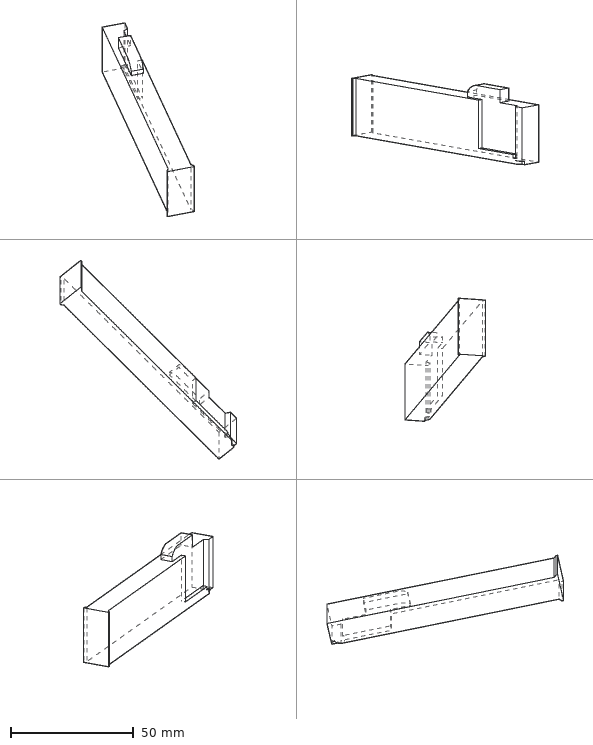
import cadquery as cq
import math

length = 96.5
flare_width = 11.5
total_height = 29.2

body_height = 23.8
front_flare = 0.82
back_flare = 1.0
flare_length = 1.6
rim_length = 0.7
flare_start = length - flare_length
flare_end = length - rim_length
front_y = front_flare
back_y = flare_width - back_flare

pocket_depth = 1.9
pocket_start = 3.8
pocket_slope = 1.2
pocket_end = 24.9
gap_floor = 2.3
pad_start = 5.3
pad_height = 1.4
pocket_y = back_y - pocket_depth

notch_depth = 1.4
notch_height = 1.4
notch_length = 1.4
round_radius = 2.3

tab_start = 14.7
tab_end = 33.2
tab_width = 5.2
nose_length = 4.4
nose_drop = 3.2
nose_radius = 6.9


def make_body():
    """Long block whose +X end flares out on both sides."""
    return (
        cq.Workplane("XY")
        .polyline([
            (0, front_y),
            (flare_start, front_y),
            (flare_end, 0),
            (length, 0),
            (length, flare_width),
            (flare_end, flare_width),
            (flare_start, back_y),
            (0, back_y),
        ])
        .close()
        .extrude(body_height)
    )


def make_pocket():
    """Upright pocket behind the tab, deeper in the gap ahead of the raised pad."""
    gap = (
        cq.Workplane("XY", origin=(0, 0, gap_floor))
        .polyline([
            (pocket_start, back_y),
            (pocket_start + pocket_slope, pocket_y),
            (pad_start, pocket_y),
            (pad_start, back_y),
        ])
        .close()
        .extrude(body_height - gap_floor)
    )
    pad_top = gap_floor + pad_height
    above_pad = cq.Workplane("XY", origin=(pad_start, pocket_y, pad_top)).box(
        pocket_end - pad_start, pocket_depth, body_height - pad_top, centered=False
    )
    return gap.union(above_pad)


def make_notch():
    """Lower back notch that ends in a 45 degree ramp rounded into the back face."""
    round_rise = round_radius * (1 - math.sqrt(0.5))
    round_run = round_radius * math.sqrt(0.5)
    ramp_end = notch_length + notch_depth - round_rise
    return (
        cq.Workplane("XY")
        .moveTo(0, back_y)
        .lineTo(0, back_y - notch_depth)
        .lineTo(notch_length, back_y - notch_depth)
        .lineTo(ramp_end, back_y - round_rise)
        .radiusArc((ramp_end + round_run, back_y), round_radius)
        .close()
        .extrude(notch_height)
    )


def make_tab():
    """Upright tab with a rounded nose towards +X."""
    return (
        cq.Workplane("XZ", origin=(0, pocket_y, 0))
        .moveTo(tab_start, body_height)
        .lineTo(tab_start, total_height)
        .lineTo(tab_end - nose_length, total_height)
        .radiusArc((tab_end, total_height - nose_drop), nose_radius)
        .lineTo(tab_end, body_height)
        .close()
        .extrude(tab_width)
    )


result = make_body().cut(make_pocket()).cut(make_notch()).union(make_tab())